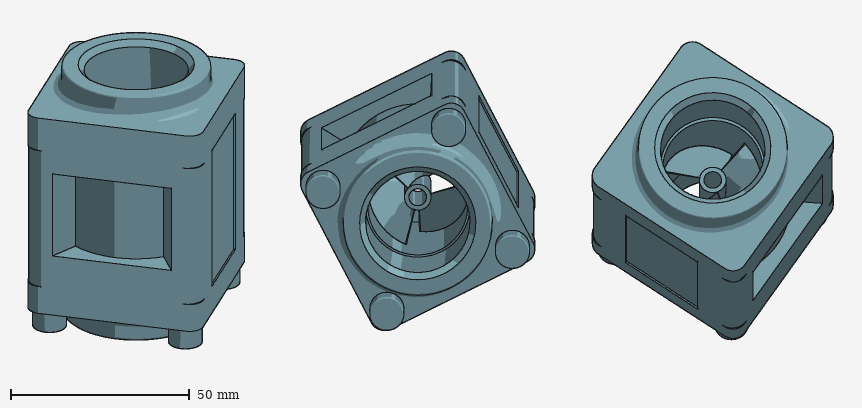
import cadquery as cq
import math


block_width = 50.8
block_height = 60.75
half_width = block_width / 2
block_top = block_height / 2
end_corner_radius = 4.0
middle_corner_radius = 4.85
relief_top = 20.3
relief_bottom = -22.0
relief_height = relief_top - relief_bottom

total_height = 75.9
collar_height = (total_height - block_height) / 2
collar_radius = 20.9
collar_root_fillet = 3.2
collar_rim_fillet = 0.7

bore_radius = 14.6
bore_chamfer = 1.7

tube_outer_radius = 21.7
tube_inner_radius = 14.0
tube_top = 19.8
chamber_top_gap = 0.9
window_middle = 0.75
tube_bottom = 2 * window_middle - tube_top
tube_height = tube_top - tube_bottom

window_width = 34.6
window_height = 25.5
window_taper_angle = 30.0

label_width = 24.4
label_depth = 0.5

bolt_spacing = 39.4
bolt_radius = 4.8
bolt_height = 6.2
bolt_rim_fillet = 0.3

hub_outer_radius = 3.7
hub_bore_radius = 2.4
rotor_height = 16.7
blade_count = 3
blade_start_angle = 190.0
blade_width_angle = 1.5
blade_twist_angle = 103.5


def cylinder(radius, bottom, height):
    return cq.Workplane("XY").workplane(offset=bottom).circle(radius).extrude(height)


def rounded_block(bottom, height, corner_radius):
    block = cq.Workplane("XY").workplane(offset=bottom).rect(block_width, block_width).extrude(height)
    return block.edges("|Z").fillet(corner_radius)


def make_block():
    top_part = rounded_block(relief_top, block_top - relief_top, end_corner_radius)
    middle_part = rounded_block(relief_bottom, relief_height, middle_corner_radius)
    bottom_part = rounded_block(-block_top, relief_bottom + block_top, end_corner_radius)
    return middle_part.union(top_part).union(bottom_part)


def make_top_collar():
    """Collar turned about Z, flaring into the block top and rounded at its rim."""
    rim_diagonal = collar_rim_fillet * (1 - math.sqrt(0.5))
    root_diagonal = collar_root_fillet * (1 - math.sqrt(0.5))
    collar_top = block_top + collar_height
    return (
        cq.Workplane("XZ")
        .moveTo(0, block_top)
        .lineTo(collar_radius + collar_root_fillet, block_top)
        .threePointArc(
            (collar_radius + root_diagonal, block_top + root_diagonal),
            (collar_radius, block_top + collar_root_fillet),
        )
        .lineTo(collar_radius, collar_top - collar_rim_fillet)
        .threePointArc(
            (collar_radius - rim_diagonal, collar_top - rim_diagonal),
            (collar_radius - collar_rim_fillet, collar_top),
        )
        .lineTo(0, collar_top)
        .close()
        .revolve(360, (0, 0, 0), (0, 1, 0))
    )


def make_bolt_heads():
    heads = (
        cq.Workplane("XY")
        .workplane(offset=-block_top - bolt_height)
        .rect(bolt_spacing, bolt_spacing, forConstruction=True)
        .vertices()
        .circle(bolt_radius)
        .extrude(bolt_height)
    )
    return heads.faces("<Z").edges().fillet(bolt_rim_fillet)


def make_flow_passage():
    passage = cylinder(bore_radius, -total_height / 2, total_height)
    mouth = (
        cq.Workplane("XY")
        .workplane(offset=total_height / 2)
        .circle(bore_radius + bore_chamfer)
        .workplane(offset=-bore_chamfer)
        .circle(bore_radius)
        .loft(ruled=True)
    )
    return passage.union(mouth).union(mouth.mirror("XY"))


def make_front_window():
    """Opening from the front face in to the tube chamber, its sides closing in with depth."""
    depth = half_width - tube_inner_radius
    outer_half = window_width / 2
    inner_half = outer_half - depth * math.tan(math.radians(window_taper_angle))
    return (
        cq.Workplane("XY")
        .workplane(offset=window_middle - window_height / 2)
        .polyline([
            (-outer_half, -half_width),
            (outer_half, -half_width),
            (inner_half, -half_width + depth),
            (-inner_half, -half_width + depth),
        ])
        .close()
        .extrude(window_height)
    )


def make_label_recess():
    middle_height = (relief_top + relief_bottom) / 2
    recess = cq.Workplane("XY").box(2 * label_depth, label_width, relief_height)
    return recess.translate((-half_width, 0, middle_height))


def make_housing():
    collar = make_top_collar()
    window = make_front_window()
    label = make_label_recess()
    chamber = cylinder(tube_outer_radius, tube_bottom, tube_height + chamber_top_gap)
    housing = make_block().union(collar).union(collar.mirror("XY")).union(make_bolt_heads())
    housing = housing.cut(make_flow_passage()).cut(chamber)
    housing = housing.cut(window).cut(window.mirror("XZ"))
    return housing.cut(label).cut(label.mirror("YZ"))


def make_glass_tube():
    tube = cylinder(tube_outer_radius, tube_bottom, tube_height)
    return tube.cut(cylinder(tube_inner_radius, tube_bottom, tube_height))


def make_blade(start_angle):
    """Helical blade that climbs counter-clockwise, a thin wedge at every level."""
    reach = 1.2 * tube_inner_radius
    half_angle = math.radians(blade_width_angle / 2)
    wedge = [(0, 0), (reach, -reach * math.tan(half_angle)), (reach, reach * math.tan(half_angle))]
    return (
        cq.Workplane("XY")
        .polyline(wedge)
        .close()
        .twistExtrude(rotor_height, blade_twist_angle)
        .rotate((0, 0, 0), (0, 0, 1), start_angle + blade_width_angle / 2)
        .translate((0, 0, window_middle - rotor_height / 2))
    )


def make_rotor():
    rotor_bottom = window_middle - rotor_height / 2
    sweep_space = cylinder(tube_inner_radius, rotor_bottom, rotor_height)
    rotor = cylinder(hub_outer_radius, rotor_bottom, rotor_height)
    for index in range(blade_count):
        blade = make_blade(blade_start_angle + index * 360 / blade_count)
        rotor = rotor.union(blade.intersect(sweep_space))
    return rotor.cut(cylinder(hub_bore_radius, rotor_bottom, rotor_height))


housing = make_housing()
glass_tube = make_glass_tube()
rotor = make_rotor()

result = cq.Compound.makeCompound([housing.solids().val(), glass_tube.solids().val(), rotor.solids().val()])